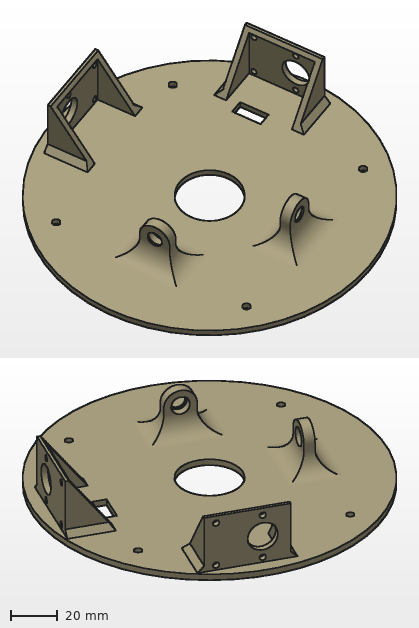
import cadquery as cq
import math

plate_diameter = 160.0
plate_thickness = 3.0
overall_height = 30.0
center_bore_diameter = 30.0
mount_hole_count = 4
mount_start_angle = 45.0
mount_circle_radius = 67.5
mount_hole_diameter = 3.6
slot_length = 14.2
slot_width = 6.5
slot_center = (-10.6, 50.7)

axis_height = plate_thickness + 12.9

bracket_back = 73.5
bracket_depth = 21.8
bracket_left = -26.4
bracket_right = 12.6
bracket_wall = 3.0
bracket_top_land = 1.5
foot_size = 3.0
motor_bore_diameter = 13.5
motor_hole_pitch = 21.0
motor_hole_diameter = 2.8

ear_center_y = -42.5
ear_thickness = 5.0
ear_width = 15.0
flare_radius = 10.0
ear_bore_diameter = 7.2
ear_counterbore_diameter = 8.4
ear_counterbore_depth = 4.0


def make_plate():
    """Disc with the centre bore, four mounting holes and the cable slot."""
    plate = cq.Workplane("XY").circle(plate_diameter / 2).extrude(plate_thickness)
    plate = plate.faces(">Z").workplane().hole(center_bore_diameter)
    mount_holes = (
        cq.Workplane("XY")
        .polarArray(mount_circle_radius, mount_start_angle, 360, mount_hole_count)
        .circle(mount_hole_diameter / 2)
        .extrude(plate_thickness)
    )
    slot = cq.Workplane("XY").center(*slot_center).rect(slot_length, slot_width).extrude(plate_thickness)
    return plate.cut(mount_holes).cut(slot)


def make_motor_bracket():
    """U-shaped bracket whose walls slope down from the back wall to the plate."""
    front = bracket_back - bracket_depth
    width = bracket_right - bracket_left
    foot_top = plate_thickness + foot_size

    outline = (
        cq.Workplane("XZ", origin=(0, bracket_back, 0))
        .moveTo(bracket_left - foot_size, plate_thickness)
        .lineTo(bracket_left, foot_top)
        .lineTo(bracket_left, overall_height)
        .lineTo(bracket_right, overall_height)
        .lineTo(bracket_right, foot_top)
        .lineTo(bracket_right + foot_size, plate_thickness)
        .close()
        .extrude(bracket_depth)
    )
    slope = (
        cq.Workplane("YZ", origin=(bracket_left - foot_size, 0, 0))
        .moveTo(bracket_back, plate_thickness)
        .lineTo(bracket_back, overall_height)
        .lineTo(bracket_back - bracket_top_land, overall_height)
        .lineTo(front, plate_thickness)
        .close()
        .extrude(width + 2 * foot_size)
    )
    pocket = (
        cq.Workplane("XY")
        .box(width - 2 * bracket_wall, bracket_depth, overall_height, centered=False)
        .translate((bracket_left + bracket_wall, front - bracket_wall, plate_thickness))
    )
    bracket = outline.intersect(slope).cut(pocket)

    wall_plane = cq.Workplane("XZ", origin=(0, bracket_back, 0))
    hole_points = [
        (x, axis_height + side * motor_hole_pitch / 2)
        for x in (-motor_hole_pitch, 0)
        for side in (-1, 1)
    ]
    holes = wall_plane.pushPoints(hole_points).circle(motor_hole_diameter / 2).extrude(bracket_wall)
    bore = wall_plane.center(0, axis_height).circle(motor_bore_diameter / 2).extrude(bracket_wall)
    return bracket.cut(holes).cut(bore)


def flared_profile(plane, half_width, top, length):
    """Prism symmetric about its plane: a post flaring out to the plate in quarter arcs."""
    base = half_width + flare_radius
    flare_top = plate_thickness + flare_radius
    arc_offset = flare_radius * (1 - math.sqrt(0.5))
    arc_middle = (half_width + arc_offset, plate_thickness + arc_offset)
    return (
        plane.moveTo(-base, plate_thickness)
        .threePointArc((-arc_middle[0], arc_middle[1]), (-half_width, flare_top))
        .lineTo(-half_width, top)
        .lineTo(half_width, top)
        .lineTo(half_width, flare_top)
        .threePointArc(arc_middle, (base, plate_thickness))
        .close()
        .extrude(length / 2, both=True)
    )


def make_bearing_ear():
    """Lug with a stepped bore; the wide end of the bore faces the plate centre."""
    base_length = ear_width + 2 * flare_radius
    base_depth = ear_thickness + 2 * flare_radius
    ear_plane = cq.Workplane("XZ", origin=(0, ear_center_y, 0))
    side_plane = cq.Workplane("YZ", origin=(0, ear_center_y, 0))
    inner_face_y = ear_center_y + ear_thickness / 2

    post = flared_profile(ear_plane, ear_width / 2, axis_height, base_depth)
    sides = flared_profile(side_plane, ear_thickness / 2, axis_height, base_length)
    crown = (
        cq.Workplane("XZ", origin=(0, inner_face_y, 0))
        .center(0, axis_height)
        .circle(ear_width / 2)
        .extrude(ear_thickness)
    )
    ear = post.intersect(sides).union(crown)

    bore = (
        ear_plane.center(0, axis_height).circle(ear_bore_diameter / 2).extrude(base_depth / 2, both=True)
    )
    counterbore = (
        cq.Workplane("XZ", origin=(0, inner_face_y - ear_counterbore_depth, 0))
        .center(0, axis_height)
        .circle(ear_counterbore_diameter / 2)
        .extrude(-base_depth)
    )
    return ear.cut(bore).cut(counterbore)


result = make_plate()
for feature in (make_motor_bracket(), make_bearing_ear()):
    result = result.union(feature).union(feature.mirror((1, 1, 0)))